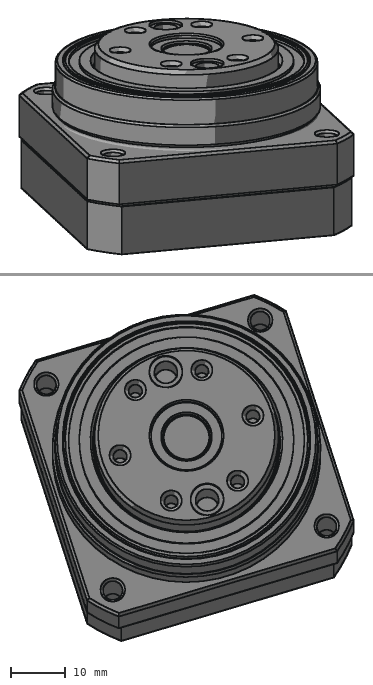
import cadquery as cq
import math

flange_side = 51.0
base_side = 50.6
flange_corner_radius = 32.95
base_corner_radius = 32.45

base_top = 9.15
flange_top = 18.0
ring_bottom = 19.1
ring_top = 22.9
boss_top = 27.9
disc_top = 31.0

flange_top_chamfer = 0.5
flange_bottom_chamfer = 0.55

neck_fillet = 0.5
ring_radius = 24.5
ring_top_edge = 0.4
ring_bottom_edge_width = 0.45
ring_bottom_edge_height = 0.55
boss_radius = 23.95
boss_edge = 0.35
neck_radius = ring_radius - ring_bottom_edge_width
disc_radius = 16.8
disc_edge_width = 0.65
disc_edge_height = 0.8

v_groove_outer = 22.65
v_groove_middle = 22.45
v_groove_inner = 22.15
v_groove_depth = 0.25
recess_outer = 21.5
recess_inner = 19.6
recess_depth = 0.5
lip_outer = 17.55
lip_inner = 17.15
lip_depth = 1.55
lip_ledge_inner = 17.0
gap_depth = 2.05

center_recess_radius = 6.5
center_recess_chamfer = 0.3
center_recess_depth = 0.8
center_bore_radius = 4.35
center_bore_chamfer = 0.3
plug_drop = 0.5
plug_edge = 0.2

mount_spacing = 40.9
mount_radius = 1.8
mount_chamfer = 0.45
output_circle_radius = 12.7
screw_count = 6
screw_start_angle = 30
screw_radius = 1.2
screw_chamfer = 0.7
screw_depth = 6.1
dowel_count = 2
dowel_start_angle = 0
dowel_radius = 2.1
dowel_depth = 6.1
dowel_counterbore_radius = 3.0
dowel_counterbore_depth = 0.5
drill_tip_angle = 118.0


def rounded_square(side, corner_radius, bottom, top):
    """Square block whose corners are rounded off by a cylinder about Z."""
    height = top - bottom
    block = cq.Workplane("XY").workplane(offset=bottom).rect(side, side).extrude(height)
    cylinder = cq.Workplane("XY").workplane(offset=bottom).circle(corner_radius).extrude(height)
    return block.intersect(cylinder)


def turned(points):
    """Solid of revolution about Z from (radius, height) points."""
    return cq.Workplane("XZ").polyline(points).close().revolve(360, (0, 0), (0, 1))


def round_stack():
    """Neck, pilot ring, boss, seal face and output disc as one turned shape."""
    profile = (
        cq.Workplane("XZ")
        .moveTo(0, flange_top)
        .lineTo(neck_radius + neck_fillet, flange_top)
        .radiusArc((neck_radius, flange_top + neck_fillet), neck_fillet)
        .lineTo(neck_radius, ring_bottom - ring_bottom_edge_height)
        .lineTo(ring_radius, ring_bottom)
        .lineTo(ring_radius, ring_top - ring_top_edge)
        .lineTo(ring_radius - ring_top_edge, ring_top)
        .lineTo(boss_radius, ring_top)
        .lineTo(boss_radius, boss_top - boss_edge)
        .lineTo(boss_radius - boss_edge, boss_top)
        .lineTo(v_groove_outer, boss_top)
        .lineTo(v_groove_middle, boss_top - v_groove_depth)
        .lineTo(v_groove_inner, boss_top)
        .lineTo(recess_outer, boss_top)
        .lineTo(recess_outer, boss_top - recess_depth)
        .lineTo(recess_inner, boss_top - recess_depth)
        .lineTo(recess_inner, boss_top)
        .lineTo(lip_outer, boss_top)
        .lineTo(lip_inner, boss_top - lip_depth)
        .lineTo(lip_ledge_inner, boss_top - lip_depth)
        .lineTo(disc_radius, boss_top - gap_depth)
        .lineTo(disc_radius, disc_top - disc_edge_height)
        .lineTo(disc_radius - disc_edge_width, disc_top)
        .lineTo(0, disc_top)
        .close()
    )
    return profile.revolve(360, (0, 0), (0, 1))


def center_recess():
    """Chamfered recess stepping down to a bore closed by a plug with a bevelled rim."""
    floor = disc_top - center_recess_depth
    plug_top = floor - plug_drop
    return turned(
        [
            (0, disc_top),
            (center_recess_radius + center_recess_chamfer, disc_top),
            (center_recess_radius, disc_top - center_recess_chamfer),
            (center_recess_radius, floor),
            (center_bore_radius + center_bore_chamfer, floor),
            (center_bore_radius, floor - center_bore_chamfer),
            (center_bore_radius, plug_top - plug_edge),
            (center_bore_radius - plug_edge, plug_top),
            (0, plug_top),
        ]
    )


def drill_tip(radius):
    """Length of the conical end that a drill of this radius leaves."""
    return radius / math.tan(math.radians(drill_tip_angle / 2))


def screw_hole():
    """Countersunk blind hole on the Z axis, open at the disc face."""
    bottom = disc_top - screw_depth
    return turned(
        [
            (0, disc_top),
            (screw_radius + screw_chamfer, disc_top),
            (screw_radius, disc_top - screw_chamfer),
            (screw_radius, bottom),
            (0, bottom - drill_tip(screw_radius)),
        ]
    )


def dowel_hole():
    """Blind hole with a shallow counterbore on the Z axis, open at the disc face."""
    step = disc_top - dowel_counterbore_depth
    bottom = disc_top - dowel_depth
    return turned(
        [
            (0, disc_top),
            (dowel_counterbore_radius, disc_top),
            (dowel_counterbore_radius, step),
            (dowel_radius, step),
            (dowel_radius, bottom),
            (0, bottom - drill_tip(dowel_radius)),
        ]
    )


def mount_hole():
    """Hole on the Z axis through base and flange, chamfered at the flange face."""
    return turned(
        [
            (0, 0),
            (mount_radius, 0),
            (mount_radius, flange_top - mount_chamfer),
            (mount_radius + mount_chamfer, flange_top),
            (0, flange_top),
        ]
    )


def drill_mount_holes(body):
    """Cut the four corner mounting holes."""
    hole = mount_hole()
    for x in (-mount_spacing / 2, mount_spacing / 2):
        for y in (-mount_spacing / 2, mount_spacing / 2):
            body = body.cut(hole.translate((x, y, 0)))
    return body


def drill_output_holes(body, hole, count, first_angle):
    """Cut equally spaced copies of a hole around the output circle."""
    for i in range(count):
        angle = math.radians(first_angle + i * 360 / count)
        x = output_circle_radius * math.cos(angle)
        y = output_circle_radius * math.sin(angle)
        body = body.cut(hole.translate((x, y, 0)))
    return body


def make_base():
    """Plain rounded-square block under the gearbox."""
    return drill_mount_holes(rounded_square(base_side, base_corner_radius, 0, base_top))


def make_gearbox():
    """Chamfered flange with the turned stack and the output holes."""
    flange = rounded_square(flange_side, flange_corner_radius, base_top, flange_top)
    flange = flange.faces(">Z").chamfer(flange_top_chamfer)
    flange = flange.faces("<Z").chamfer(flange_bottom_chamfer)
    body = drill_mount_holes(flange.union(round_stack()))
    body = body.cut(center_recess())
    body = drill_output_holes(body, screw_hole(), screw_count, screw_start_angle)
    return drill_output_holes(body, dowel_hole(), dowel_count, dowel_start_angle)


base = make_base()
gearbox = make_gearbox()

result = cq.Compound.makeCompound([base.val(), gearbox.val()])